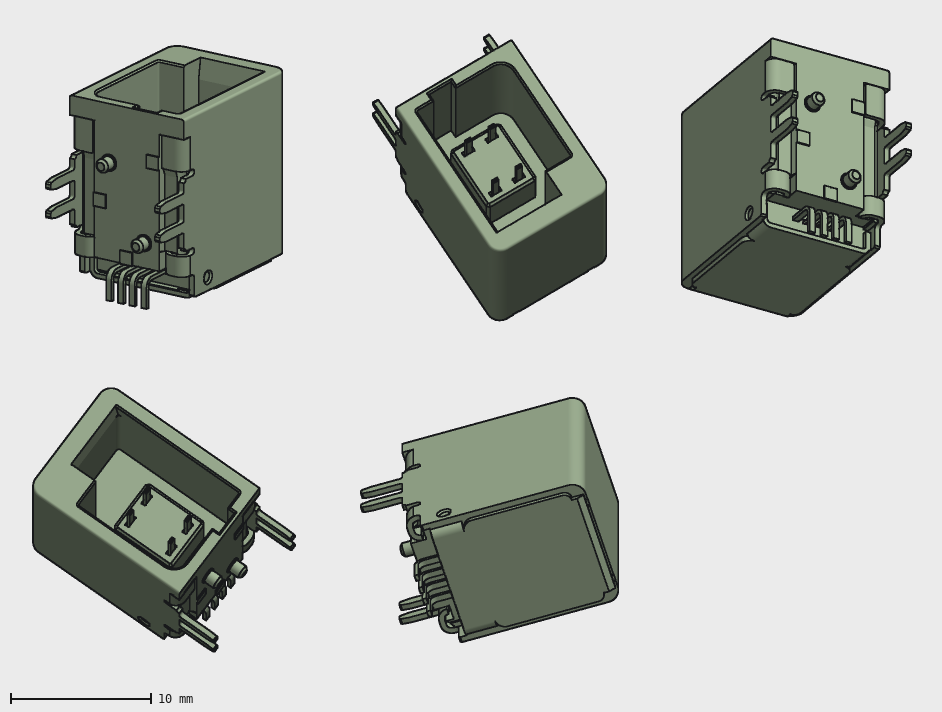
import cadquery as cq

half_width = 4.9
depth = 13.4
height = 13.81
back_corner_radius = 0.99
top_edge_radius = 0.2
wall = 0.43
inner_half = half_width - wall

flange_z = 12.3
plate_half = 2.79
plate_bottom_z = 1.95
groove_depth = 0.53
groove_pad_depth = 0.38
groove_pad_z = 9.59
groove_slope_z = 9.1
groove_corner_radius = 0.5
groove_draft = 0.13
pad_size = 1.02
pad_height = 0.12
pads = [(plate_half - pad_size / 2, 10.1), (pad_size / 2 - plate_half, 6.37), (0, 2.43)]

peg_spots = [(-1.5, 9.35), (1.5, 3.86)]
peg_radius = 0.51
peg_length = 1.1
peg_chamfer = 0.2
peg_collar_radius = 0.61

tab_radius = 0.82
upper_tab_z = (9.75, flange_z)
upper_tab_face_y = 0.05
upper_tab_end_x = 2.95
upper_tab_corner = 0.13
lower_tab_z = (1.77, 3.32)
lower_tab_face_y = 0.12
lower_tab_end_x = 2.89
curl_pocket_depth = 1.15
curl_pocket_outer_x = 3.9
curl_pocket_top_z = 3.38
slot_width = 0.48
slot_end_y = 1.34
slot_mouth_radius = 0.25
step_radius = 0.3
wall_foot_chamfer = 0.13

board_pin_z = [7.85, 5.68]
board_pin_width = 0.8
board_pin_length = 16.5 - depth
board_pin_taper_y = 2.33
board_pin_tip_width = 0.5
board_pin_tip_chamfer = 0.12
board_pin_root_radius = 0.2

dimple_y = 3.12
dimple_z = 1.0
dimple_radius = 0.53
dimple_floor_radius = 0.38
dimple_depth = 0.15

lower_face_y = 2.31
cover_half = 4.44
cover_thickness = 0.41
saddle_thickness = 0.36
saddle_top_z = 1.44
saddle_front_y = 1.93
saddle_back_y = 4.27
saddle_radius = 0.66
cover_back_y = 12.36
cover_front_radius = 0.76
cover_back_radius = 0.55
lip_end_y = 13.23
lip_chamfer_y = 0.48
lip_chamfer_z = 0.3
ledge_half = 2.92
ledge_top_z = 0.12
ledge_length = 0.18
gap_width = 0.5
gap_front_width = 0.95
gap_bottom_z = -0.02
gap_height = 0.12

cavity_half = 3.9
cavity_front_y = 0.84
cavity_back_y = 11.93
cavity_step_x = -1.6
cavity_step_y = 9.88
cavity_front_radius = 1.24
cavity_corner_radius = 0.25
rim_chamfer = 0.13
cavity_floor_z = 3.96
key_x = (0.33, 2.45)
key_front_y = 0.25
lead_in_depth = 1.58
lead_in_inset = 0.25

island_x = (-2.1, 2.1)
island_y = (2.75, 7.89)
island_top_z = 7.42
island_chamfer = 0.2
contact_x = [-0.99, 0.99]
contact_y = [3.53, 7.15]
contact_slot = (0.89, 0.33)
contact_slot_depth = 1.32
contact_width = 0.46
contact_thickness = 0.25
contact_tip_z = 9.74
contact_tip_chamfer = 0.07

tail_x = [-1.5, -0.48, 0.48, 1.5]
tail_width = 0.46
tail_thickness = 0.28
tail_top_z = 1.2
tail_front_y = -0.07
tail_bottom_z = height - 14.9
tail_radius = 0.73
tail_pocket_x = [-0.48, 1.5]
tail_pocket = (0.82, 0.31)
tail_pocket_depth = 0.33


def box(x, y, z):
    """Box between two limits on each axis."""
    corner = cq.Workplane("XY").box(x[1] - x[0], y[1] - y[0], z[1] - z[0], centered=False)
    return corner.translate((x[0], y[0], z[0]))


def both_sides(shape):
    """The shape at +X joined with its mirror image at -X."""
    return shape.union(shape.mirror("YZ"))


def side_plate(outline):
    """Thickness of one +X shell wall, given a closed outline of local Y and Z."""
    return outline.extrude(wall)


def make_envelope():
    body = box((-half_width, half_width), (0, depth), (0, height))
    body = body.edges("|Z and >Y").fillet(back_corner_radius)
    return body.faces(">Z").edges("not(<Y)").fillet(top_edge_radius)


def make_grooves():
    """Recesses beside the centre plate, with a rounded outer body corner and a shallower upper end."""
    profile = (
        cq.Workplane("XY")
        .moveTo(plate_half, 0)
        .lineTo(inner_half, 0)
        .lineTo(inner_half, groove_depth + groove_corner_radius)
        .radiusArc((inner_half - groove_corner_radius, groove_depth), -groove_corner_radius)
        .lineTo(plate_half + groove_draft, groove_depth)
        .close()
    )
    groove = profile.extrude(flange_z)
    pad = (
        cq.Workplane("YZ")
        .moveTo(groove_depth, groove_slope_z)
        .lineTo(groove_pad_depth, groove_pad_z)
        .lineTo(groove_pad_depth, flange_z)
        .lineTo(groove_depth, flange_z)
        .close()
        .extrude(inner_half - groove_corner_radius - plate_half)
        .translate((plate_half, 0, 0))
    )
    pocket = box(
        (plate_half, curl_pocket_outer_x), (0, curl_pocket_depth), (plate_bottom_z, curl_pocket_top_z)
    )
    return both_sides(groove.cut(pad).union(pocket))


def make_wall_cuts():
    """Openings in the front edges of the side walls: tab gaps, slots, lower step and foot."""
    wall_x = (inner_half, half_width)
    cuts = box(wall_x, (0, tab_radius), (0, lower_tab_z[1]))
    cuts = cuts.union(box(wall_x, (0, tab_radius), upper_tab_z))
    step = box(wall_x, (-slot_end_y, slot_end_y), (-lower_tab_z[0], lower_tab_z[0]))
    cuts = cuts.union(step.edges("|X and >Y and >Z").fillet(step_radius))

    foot = (
        cq.Workplane("YZ", origin=(inner_half, 0, 0))
        .moveTo(slot_end_y, 0)
        .lineTo(slot_end_y + wall_foot_chamfer, 0)
        .lineTo(slot_end_y, wall_foot_chamfer)
        .close()
    )
    cuts = cuts.union(side_plate(foot))

    for tab_edge_z, direction in ((upper_tab_z[0], -1), (lower_tab_z[1], 1)):
        far_z = tab_edge_z + direction * slot_width
        mid_z = tab_edge_z + direction * slot_width / 2
        mouth_z = far_z + direction * slot_mouth_radius
        slot = (
            cq.Workplane("YZ", origin=(inner_half, 0, 0))
            .moveTo(0, tab_edge_z)
            .lineTo(slot_end_y - slot_width / 2, tab_edge_z)
            .threePointArc((slot_end_y, mid_z), (slot_end_y - slot_width / 2, far_z))
            .lineTo(slot_mouth_radius, far_z)
            .radiusArc((0, mouth_z), -direction * slot_mouth_radius)
            .close()
        )
        cuts = cuts.union(side_plate(slot))
    return both_sides(cuts)


def make_upper_tab():
    """Tab bent from the side wall across the groove."""
    inner_radius = tab_radius - wall
    bend_x = half_width - tab_radius
    bend_y = upper_tab_face_y + tab_radius
    tab = (
        cq.Workplane("XY", origin=(0, 0, upper_tab_z[0]))
        .moveTo(half_width, bend_y)
        .radiusArc((bend_x, upper_tab_face_y), tab_radius)
        .lineTo(upper_tab_end_x, upper_tab_face_y)
        .lineTo(upper_tab_end_x, upper_tab_face_y + wall)
        .lineTo(bend_x, upper_tab_face_y + wall)
        .radiusArc((half_width - wall, bend_y), -inner_radius)
        .close()
        .extrude(upper_tab_z[1] - upper_tab_z[0])
    )
    return both_sides(tab.edges("|Y and <X").fillet(upper_tab_corner))


def make_lower_tab():
    """Tab bent from the side wall and curled back into the body."""
    inner_radius = tab_radius - wall
    bend_x = half_width - tab_radius
    curl_x = lower_tab_end_x + tab_radius
    bend_y = lower_tab_face_y + tab_radius
    tab = (
        cq.Workplane("XY", origin=(0, 0, lower_tab_z[0]))
        .moveTo(half_width, bend_y)
        .radiusArc((bend_x, lower_tab_face_y), tab_radius)
        .lineTo(curl_x, lower_tab_face_y)
        .radiusArc((lower_tab_end_x, bend_y), tab_radius)
        .lineTo(lower_tab_end_x + wall, bend_y)
        .radiusArc((curl_x, lower_tab_face_y + wall), -inner_radius)
        .lineTo(bend_x, lower_tab_face_y + wall)
        .radiusArc((half_width - wall, bend_y), -inner_radius)
        .close()
        .extrude(lower_tab_z[1] - lower_tab_z[0])
    )
    return both_sides(tab)


def make_board_pins():
    """Tapered solder pins in the plane of each side wall, with filleted roots."""
    half = board_pin_width / 2
    tip_half = board_pin_tip_width / 2
    root_half = half + board_pin_root_radius
    pins = cq.Workplane("XY")
    for z in board_pin_z:
        outline = (
            cq.Workplane("YZ", origin=(inner_half, 0, z))
            .moveTo(0, -root_half)
            .radiusArc((-board_pin_root_radius, -half), -board_pin_root_radius)
            .lineTo(-board_pin_taper_y, -half)
            .lineTo(-board_pin_length, -tip_half)
            .lineTo(-board_pin_length, tip_half)
            .lineTo(-board_pin_taper_y, half)
            .lineTo(-board_pin_root_radius, half)
            .radiusArc((0, root_half), -board_pin_root_radius)
            .close()
        )
        pin = side_plate(outline).edges("|X and <Y").chamfer(board_pin_tip_chamfer)
        pins = pins.union(pin)
    return both_sides(pins)


def make_dimples():
    """Shallow tapered dimples in the outside of the side walls."""
    dimple = (
        cq.Workplane("YZ", origin=(half_width - dimple_depth, dimple_y, dimple_z))
        .circle(dimple_floor_radius)
        .workplane(offset=dimple_depth)
        .circle(dimple_radius)
        .loft()
    )
    return both_sides(dimple)


def make_lower_opening():
    """Room in front of the lower body face, down to the saddle."""
    inner = cover_half - saddle_thickness
    floor_z = saddle_thickness - cover_thickness
    opening = box((-inner, inner), (0, lower_face_y), (floor_z, plate_bottom_z))
    opening = opening.edges("|Y and <Z").fillet(saddle_radius - saddle_thickness)
    front = box((-inner_half, inner_half), (0, saddle_front_y), (floor_z, lower_tab_z[0]))
    above = box((-inner_half, inner_half), (0, lower_face_y), (saddle_top_z, lower_tab_z[0]))
    return opening.union(front).union(above)


def make_saddle():
    """U-shaped front of the bottom cover."""
    saddle_y = (saddle_front_y, saddle_back_y)
    saddle = box((-cover_half, cover_half), saddle_y, (-cover_thickness, saddle_top_z))
    return saddle.edges("|Y and <Z").fillet(saddle_radius)


def make_cover():
    """Bottom cover with a chamfered rear lip."""
    cover_z = (-cover_thickness, 0)
    plate = box((-cover_half, cover_half), (saddle_back_y, cover_back_y), cover_z)
    plate = plate.edges("|Z and <Y").fillet(cover_front_radius)
    plate = plate.edges("|Z and >Y").fillet(cover_back_radius)
    lip_half = cover_half - cover_back_radius
    lip = (
        cq.Workplane("YZ", origin=(-lip_half, 0, 0))
        .moveTo(saddle_back_y, 0)
        .lineTo(lip_end_y, 0)
        .lineTo(lip_end_y, lip_chamfer_z - cover_thickness)
        .lineTo(lip_end_y - lip_chamfer_y, -cover_thickness)
        .lineTo(saddle_back_y, -cover_thickness)
        .close()
        .extrude(2 * lip_half)
    )
    return plate.union(lip)


def make_ledge():
    """Sloped ledge along the foot of the lower body face."""
    floor_z = saddle_thickness - cover_thickness
    return (
        cq.Workplane("YZ", origin=(-ledge_half, 0, 0))
        .moveTo(lower_face_y, floor_z)
        .lineTo(lower_face_y - ledge_length, floor_z)
        .lineTo(lower_face_y, ledge_top_z)
        .close()
        .extrude(2 * ledge_half)
    )


def make_gaps():
    """Narrow passages between the body and the bottom cover, open from front to back."""
    gap_z = (gap_bottom_z, gap_bottom_z + gap_height)
    passage = box((ledge_half, ledge_half + gap_width), (0, depth), gap_z)
    mouth = box((ledge_half, ledge_half + gap_front_width), (0, lower_face_y + gap_width), gap_z)
    return both_sides(passage.union(mouth))


def cavity_outline(inset, back_y, z):
    """Keyed cavity outline at one height, with all but its step side moved inward by the inset."""
    right = cavity_half - inset
    front = cavity_front_y + inset
    step_y = cavity_step_y - inset
    key_left = key_x[0] + inset
    key_right = key_x[1] - inset
    key_front = key_front_y + inset
    front_round = cavity_front_radius - inset
    small_round = cavity_corner_radius - inset
    return (
        cq.Workplane("XY", origin=(0, 0, z))
        .moveTo(front_round - right, front)
        .lineTo(key_left, front)
        .lineTo(key_left, key_front)
        .lineTo(key_right, key_front)
        .lineTo(key_right, front)
        .lineTo(right - small_round, front)
        .radiusArc((right, front + small_round), -small_round)
        .lineTo(right, back_y)
        .lineTo(cavity_step_x, back_y)
        .lineTo(cavity_step_x, step_y)
        .lineTo(small_round - right, step_y)
        .radiusArc((-right, step_y - small_round), -small_round)
        .lineTo(-right, front + front_round)
        .radiusArc((front_round - right, front), -front_round)
        .close()
    )


def make_cavity():
    """Plug cavity with a chamfered rim and a long sloped lead-in along its back wall."""
    wall_y = cavity_back_y - lead_in_inset
    cavity = cavity_outline(rim_chamfer, wall_y, cavity_floor_z).extrude(height - cavity_floor_z)
    cavity = cavity.edges("|Z and >X and >Y").fillet(cavity_corner_radius)
    lead_in = (
        cq.Workplane("YZ", origin=(cavity_step_x, 0, 0))
        .moveTo(wall_y, height - lead_in_depth)
        .lineTo(cavity_back_y, height)
        .lineTo(cavity_step_y, height)
        .lineTo(cavity_step_y, height - lead_in_depth)
        .close()
        .extrude(cavity_half - rim_chamfer - cavity_step_x)
    )
    rim_base_back_y = cavity_back_y - lead_in_inset * rim_chamfer / lead_in_depth
    rim_top = cavity_outline(0, cavity_back_y, height).val()
    rim_base = cavity_outline(rim_chamfer, rim_base_back_y, height - rim_chamfer).val()
    rim = cq.Workplane(cq.Solid.makeLoft([rim_base, rim_top], True))
    return cavity.union(lead_in).union(rim)


def make_island():
    """Bevelled island holding four contacts that stand in slots."""
    island = box(island_x, island_y, (cavity_floor_z, island_top_z))
    island = island.edges("|Z").chamfer(island_chamfer)
    island = island.faces(">Z").edges().chamfer(island_chamfer)
    spots = [(x, y) for x in contact_x for y in contact_y]
    slot_floor_z = island_top_z - contact_slot_depth
    slots = (
        cq.Workplane("XY", origin=(0, 0, slot_floor_z))
        .pushPoints(spots)
        .rect(*contact_slot)
        .extrude(contact_slot_depth)
    )
    contacts = (
        cq.Workplane("XY", origin=(0, 0, slot_floor_z))
        .pushPoints(spots)
        .rect(contact_width, contact_thickness)
        .extrude(contact_tip_z - slot_floor_z)
        .faces(">Z")
        .edges()
        .chamfer(contact_tip_chamfer)
    )
    return island.cut(slots).union(contacts)


def make_pads():
    return cq.Workplane("XZ").pushPoints(pads).rect(pad_size, pad_size).extrude(pad_height)


def make_pegs():
    pegs = cq.Workplane("XZ").pushPoints(peg_spots).circle(peg_radius).extrude(peg_length)
    pegs = pegs.faces("<Y").edges().chamfer(peg_chamfer)
    collars = cq.Workplane("XZ").pushPoints(peg_spots).circle(peg_collar_radius).extrude(pad_height)
    return pegs.union(collars)


def make_tails():
    """Contact tails bent from the lower body face down to the board."""
    inner_radius = tail_radius - tail_thickness
    bend_y = tail_front_y + tail_radius
    bend_z = tail_top_z - tail_radius
    tails = cq.Workplane("XY")
    for x in tail_x:
        tail = (
            cq.Workplane("YZ", origin=(x - tail_width / 2, 0, 0))
            .moveTo(lower_face_y + tail_pocket_depth, tail_top_z)
            .lineTo(bend_y, tail_top_z)
            .radiusArc((tail_front_y, bend_z), -tail_radius)
            .lineTo(tail_front_y, tail_bottom_z)
            .lineTo(tail_front_y + tail_thickness, tail_bottom_z)
            .lineTo(tail_front_y + tail_thickness, bend_z)
            .radiusArc((bend_y, tail_top_z - tail_thickness), inner_radius)
            .lineTo(lower_face_y + tail_pocket_depth, tail_top_z - tail_thickness)
            .close()
            .extrude(tail_width)
        )
        tails = tails.union(tail)
    return tails


def make_tail_pockets():
    """Pockets in the lower body face around every second tail."""
    spots = [(x, tail_top_z - tail_pocket[1] / 2) for x in tail_pocket_x]
    return (
        cq.Workplane("XZ", origin=(0, lower_face_y + tail_pocket_depth, 0))
        .pushPoints(spots)
        .rect(*tail_pocket)
        .extrude(tail_pocket_depth)
    )


body = make_envelope().cut(make_grooves()).cut(make_wall_cuts())
body = body.union(make_cover()).union(make_saddle()).cut(make_lower_opening()).union(make_ledge())
body = body.cut(make_gaps()).cut(make_tail_pockets()).cut(make_dimples())
body = body.cut(make_cavity()).union(make_island())
body = body.union(make_upper_tab()).union(make_lower_tab()).union(make_board_pins())
result = body.union(make_pads()).union(make_pegs()).union(make_tails())